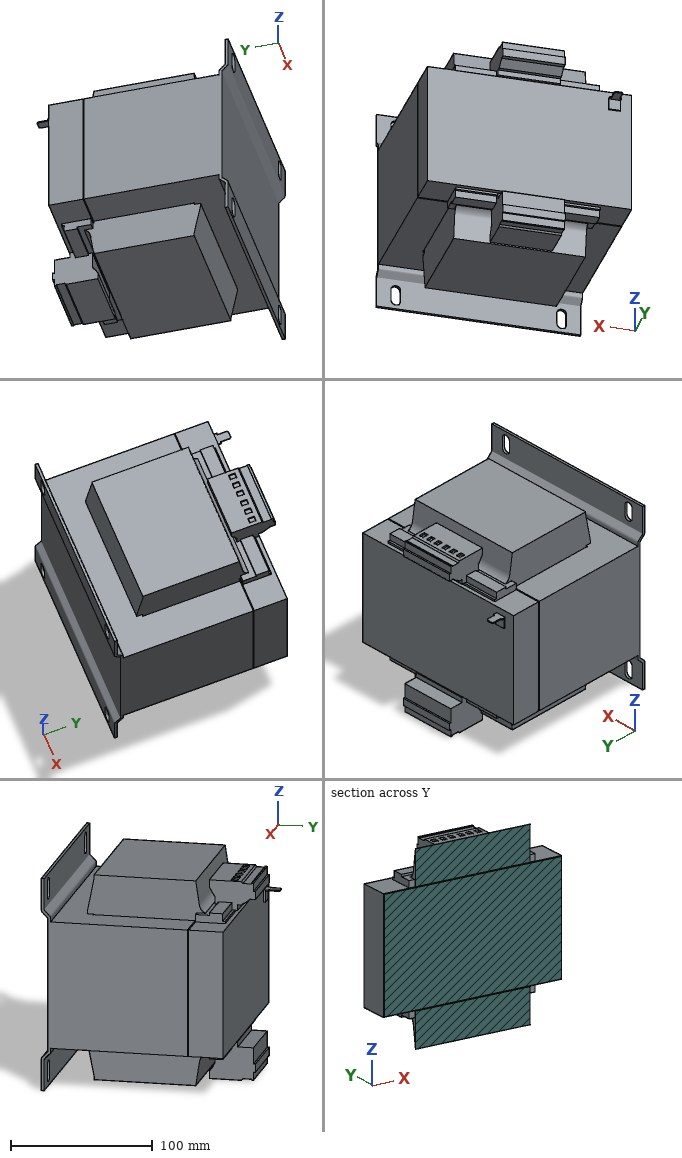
import cadquery as cq
import math

WIDTH = 150.0
DEPTH = 143.3
HEIGHT = 155.4

SHEET = 2.2
PLATE_FRONT_Y = 4.7
PLATE_BACK_Y = PLATE_FRONT_Y + SHEET
FLANGE_BEND_Z = 53.8
BEND_ANGLE = 45
BEND_INNER_R = 0.5
BEND_OUTER_R = BEND_INNER_R + SHEET
SLOT_WIDTH = 7.0
SLOT_LENGTH = 15.5
SLOT_X = 60.9
SLOT_Z = 66.8

CORE_TOP_Z = 46.3
CORE_BACK_Y = 131.5
WINDOW_FRONT_Y = 32.0
JOINT_FRONT_Y = 105.7
JOINT_WIDTH = 0.6
JOINT_DEPTH = 0.3
WINDOW_GAP = 1.4

COIL_HALF_WIDTH = 48.3
COIL_TOP_Z = 75.0
COIL_FRONT_TOP_Y = 32.3
COIL_FRONT_BASE_Y = 27.7
COIL_FRONT_BASE_Z = 48.8
COIL_FRONT_EDGE_Z = 72.5
COIL_BACK_TOP_Y = 105.8
FLARE_START_Y = 108.5
FLARE_START_Z = 57.5
FLARE_END_Y = 112.8

RAIL_HALF_WIDTH = 53.0
RAIL_FRONT_Y = 106.6
RAIL_STEP_Y = 116.7
RAIL_BACK_Y = 126.3
RAIL_LIP_Y = 128.2
RAIL_LOW_Z = 51.7
RAIL_HIGH_Z = 53.5
RAIL_LIP_Z = 48.0

BLOCK_WIDTH = 45.7
UPPER_BLOCK_TOP_Z = 69.2
LOWER_BLOCK_TOP_Z = 76.5
BLOCK_NOSE_Y = 110.0
BLOCK_STEM_Y = 114.0
BLOCK_LEDGE_FRONT_Y = 134.3
BLOCK_LEDGE_RAMP = 1.1
BLOCK_RIDGE_Y = 140.3
BLOCK_BACK_Y = 141.9
BLOCK_FOOT_Y = 130.5
BLOCK_UNDERSIDE_Z = 52.0
NOSE_DROP = 5.5
STEM_DROP = 12.0
LEDGE_DROP = 1.2
RIDGE_DROP = 0.6
KEY_TOP_DROP = 6.5
KEY_BOTTOM_DROP = 12.6
TAPER_TOP_Y = 139.7
TAPER_BOTTOM_Y = 133.3

ENTRY_WIDTH = 3.5
ENTRY_LENGTH = 4.7
ENTRY_DEPTH = 1.5
ENTRY_Y = 127.5
ENTRY_PITCH = 7.1
ENTRY_GROUP_X = (-11.0, 11.2)

TAB_X = -62.3
TAB_WIDE = 8.5
TAB_NARROW = 6.0
TAB_SHEET = 1.0
TAB_SHOULDER_Y = 134.7
TAB_TOP_Z = 41.0
TAB_BOTTOM_Z = 32.0
TAB_FOOT = 1.2
TAB_END_Y = 142.8
TAB_TIP_CHAMFER = 1.0


def box(x_range, y_range, z_range):
    """Box between the given limits on each axis."""
    size = [high - low for low, high in (x_range, y_range, z_range)]
    corner = (x_range[0], y_range[0], z_range[0])
    return cq.Workplane("XY").box(*size, centered=False).translate(corner)


def side_profile():
    """Sketch plane whose local axes are Y and Z; it extrudes along X."""
    return cq.Workplane("YZ")


def mirrored_z(body):
    return body.mirror("XY")


def round_bend(body, y, z, radius):
    """Fillet the one edge along X that passes through the given Y and Z."""
    return body.edges(cq.selectors.NearestToPointSelector((0, y, z))).fillet(radius)


def make_bracket():
    shift = SHEET * math.tan(math.radians(BEND_ANGLE / 2))
    plate_bend_z = FLANGE_BEND_Z - PLATE_FRONT_Y / math.tan(math.radians(BEND_ANGLE))
    half = (
        side_profile()
        .moveTo(PLATE_FRONT_Y, 0)
        .lineTo(PLATE_FRONT_Y, plate_bend_z)
        .lineTo(0, FLANGE_BEND_Z)
        .lineTo(0, HEIGHT / 2)
        .lineTo(SHEET, HEIGHT / 2)
        .lineTo(SHEET, FLANGE_BEND_Z + shift)
        .lineTo(PLATE_BACK_Y, plate_bend_z + shift)
        .lineTo(PLATE_BACK_Y, 0)
        .close()
        .extrude(WIDTH / 2, both=True)
    )
    half = round_bend(half, 0, FLANGE_BEND_Z, BEND_OUTER_R)
    half = round_bend(half, SHEET, FLANGE_BEND_Z + shift, BEND_INNER_R)
    half = round_bend(half, PLATE_FRONT_Y, plate_bend_z, BEND_INNER_R)
    half = round_bend(half, PLATE_BACK_Y, plate_bend_z + shift, BEND_OUTER_R)
    slots = (
        cq.Workplane("XZ")
        .pushPoints([(-SLOT_X, SLOT_Z), (SLOT_X, SLOT_Z)])
        .slot2D(SLOT_LENGTH, SLOT_WIDTH, 90)
        .extrude(-SHEET)
    )
    half = half.cut(slots)
    return half.union(mirrored_z(half))


def make_core():
    half_x = WIDTH / 2
    core = box((-half_x, half_x), (PLATE_BACK_Y, CORE_BACK_Y), (-CORE_TOP_Z, CORE_TOP_Z))
    joint_y = (JOINT_FRONT_Y, JOINT_FRONT_Y + JOINT_WIDTH)
    inner_x = half_x - JOINT_DEPTH
    inner_z = CORE_TOP_Z - JOINT_DEPTH
    ring = box((-half_x, half_x), joint_y, (-CORE_TOP_Z, CORE_TOP_Z))
    ring = ring.cut(box((-inner_x, inner_x), joint_y, (-inner_z, inner_z)))
    return core.cut(ring)


def make_window_gaps():
    """Clearance slits beside the coil, open through the full height of the core."""
    gap = box(
        (COIL_HALF_WIDTH, COIL_HALF_WIDTH + WINDOW_GAP),
        (WINDOW_FRONT_Y, JOINT_FRONT_Y),
        (-CORE_TOP_Z, CORE_TOP_Z),
    )
    return gap.union(gap.mirror("YZ"))


def make_coil_head():
    return (
        side_profile()
        .moveTo(COIL_FRONT_BASE_Y, CORE_TOP_Z)
        .lineTo(COIL_FRONT_BASE_Y, COIL_FRONT_BASE_Z)
        .lineTo(COIL_FRONT_TOP_Y, COIL_FRONT_EDGE_Z)
        .lineTo(COIL_FRONT_TOP_Y, COIL_TOP_Z)
        .lineTo(COIL_BACK_TOP_Y, COIL_TOP_Z)
        .lineTo(FLARE_START_Y, FLARE_START_Z)
        .tangentArcPoint((FLARE_END_Y, RAIL_LOW_Z), relative=False)
        .lineTo(FLARE_END_Y, CORE_TOP_Z)
        .close()
        .extrude(COIL_HALF_WIDTH, both=True)
    )


def make_rail():
    return (
        side_profile()
        .moveTo(RAIL_FRONT_Y, CORE_TOP_Z)
        .lineTo(RAIL_FRONT_Y, RAIL_LOW_Z)
        .lineTo(RAIL_STEP_Y, RAIL_LOW_Z)
        .lineTo(RAIL_STEP_Y, RAIL_HIGH_Z)
        .lineTo(RAIL_BACK_Y, RAIL_HIGH_Z)
        .lineTo(RAIL_BACK_Y, RAIL_LIP_Z)
        .lineTo(RAIL_LIP_Y, RAIL_LIP_Z)
        .lineTo(RAIL_LIP_Y, CORE_TOP_Z)
        .close()
        .extrude(RAIL_HALF_WIDTH, both=True)
    )


def make_block(top_z, tapered):
    """Terminal block; its rear underside is either tapered or square."""
    outline = [
        (BLOCK_STEM_Y, RAIL_LIP_Z),
        (BLOCK_STEM_Y, top_z - STEM_DROP),
        (BLOCK_NOSE_Y, top_z - NOSE_DROP),
        (BLOCK_NOSE_Y, top_z),
        (BLOCK_LEDGE_FRONT_Y - BLOCK_LEDGE_RAMP, top_z),
        (BLOCK_LEDGE_FRONT_Y, top_z - LEDGE_DROP),
        (BLOCK_RIDGE_Y, top_z - LEDGE_DROP),
        (BLOCK_RIDGE_Y, top_z - RIDGE_DROP),
        (BLOCK_BACK_Y, top_z - RIDGE_DROP),
        (BLOCK_BACK_Y, top_z - KEY_TOP_DROP),
        (DEPTH, top_z - KEY_TOP_DROP),
        (DEPTH, top_z - KEY_BOTTOM_DROP),
    ]
    if tapered:
        outline += [
            (TAPER_TOP_Y, top_z - KEY_BOTTOM_DROP),
            (TAPER_BOTTOM_Y, BLOCK_UNDERSIDE_Z),
        ]
    else:
        outline += [
            (BLOCK_BACK_Y, top_z - KEY_BOTTOM_DROP),
            (BLOCK_BACK_Y, BLOCK_UNDERSIDE_Z),
        ]
    outline += [
        (BLOCK_FOOT_Y, BLOCK_UNDERSIDE_Z),
        (BLOCK_FOOT_Y, RAIL_LIP_Z),
    ]
    return side_profile().polyline(outline).close().extrude(BLOCK_WIDTH / 2, both=True)


def make_wire_entries():
    centres = []
    for group_x in ENTRY_GROUP_X:
        for offset in (-1, 0, 1):
            centres.append((group_x + offset * ENTRY_PITCH, ENTRY_Y))
    return (
        cq.Workplane("XY")
        .workplane(offset=UPPER_BLOCK_TOP_Z - ENTRY_DEPTH)
        .pushPoints(centres)
        .rect(ENTRY_WIDTH, ENTRY_LENGTH)
        .extrude(ENTRY_DEPTH)
    )


def make_earth_tab():
    wide_x = (TAB_X - TAB_WIDE / 2, TAB_X + TAB_WIDE / 2)
    narrow_x = (TAB_X - TAB_NARROW / 2, TAB_X + TAB_NARROW / 2)
    blade_z = (TAB_TOP_Z - TAB_SHEET, TAB_TOP_Z)
    foot = box(wide_x, (CORE_BACK_Y, CORE_BACK_Y + TAB_FOOT), (TAB_BOTTOM_Z, TAB_TOP_Z))
    shoulder = box(wide_x, (CORE_BACK_Y, TAB_SHOULDER_Y), blade_z)
    blade = box(narrow_x, (TAB_SHOULDER_Y, TAB_END_Y), blade_z)
    blade = blade.faces(">Y").edges("|Z").chamfer(TAB_TIP_CHAMFER)
    return foot.union(shoulder).union(blade)


coil_head = make_coil_head()
rail = make_rail()
upper_block = make_block(UPPER_BLOCK_TOP_Z, tapered=True).cut(make_wire_entries())
lower_block = mirrored_z(make_block(LOWER_BLOCK_TOP_Z, tapered=False))

result = make_core().cut(make_window_gaps()).union(make_bracket())
for body in (coil_head, rail):
    result = result.union(body).union(mirrored_z(body))
result = result.union(upper_block).union(lower_block).union(make_earth_tab())